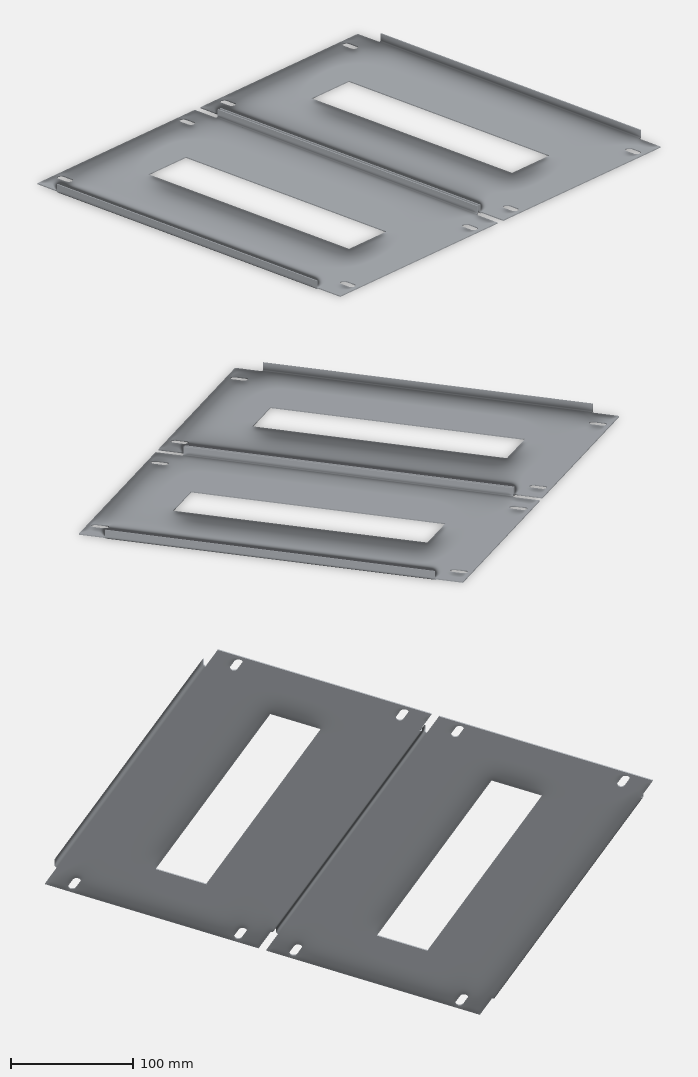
import cadquery as cq

sheet = 1.0
bend_inner_radius = 1.0
bend_outer_radius = bend_inner_radius + sheet

panel_width = 332.0
panel_depth = 198.0
panel_height = 8.0
flange_length = 285.0

bend_start_depth = panel_depth - 2 * bend_outer_radius
free_edge_setback = 0.5
plate_depth = bend_start_depth - 2 * free_edge_setback

panel_gap = 2.0
panel_pitch = panel_depth + panel_gap
panel_centers_y = (-panel_pitch / 2, panel_pitch / 2)

window_width = 220.0
window_depth = 46.0

slot_length = 15.0
slot_width = 7.0
slot_spacing_x = 310.0
slot_spacing_y = 150.0


def make_plate():
    """Flat plate, deeper along the flange length so that it reaches the bends."""
    plate = cq.Workplane("XY").rect(panel_width, plate_depth).extrude(sheet)
    bend_strip = cq.Workplane("XY").rect(flange_length, bend_start_depth).extrude(sheet)
    return plate.union(bend_strip)


def make_flange():
    """Bend and upright wall along the +Y edge of a panel centred on the origin."""
    bend_start_y = bend_start_depth / 2
    wall_outer_y = panel_depth / 2
    wall_inner_y = wall_outer_y - sheet
    return (
        cq.Workplane("YZ")
        .moveTo(bend_start_y, 0)
        .radiusArc((wall_outer_y, bend_outer_radius), -bend_outer_radius)
        .lineTo(wall_outer_y, panel_height)
        .lineTo(wall_inner_y, panel_height)
        .lineTo(wall_inner_y, bend_outer_radius)
        .radiusArc((bend_start_y, sheet), bend_inner_radius)
        .close()
        .extrude(flange_length / 2, both=True)
    )


def make_slots():
    """Cutters for the four corner slots, long side along X."""
    return (
        cq.Workplane("XY")
        .rect(slot_spacing_x, slot_spacing_y, forConstruction=True)
        .vertices()
        .slot2D(slot_length, slot_width)
        .extrude(sheet)
    )


def make_panel(center_y):
    """One panel with its underside on Z = 0."""
    window = cq.Workplane("XY").rect(window_width, window_depth).extrude(sheet)
    flange = make_flange()
    panel = make_plate().union(flange).union(flange.mirror("XZ"))
    panel = panel.cut(window).cut(make_slots())
    return panel.translate((0, center_y, 0))


panels = [make_panel(center_y) for center_y in panel_centers_y]

result = cq.Compound.makeCompound([solid for panel in panels for solid in panel.solids().vals()])